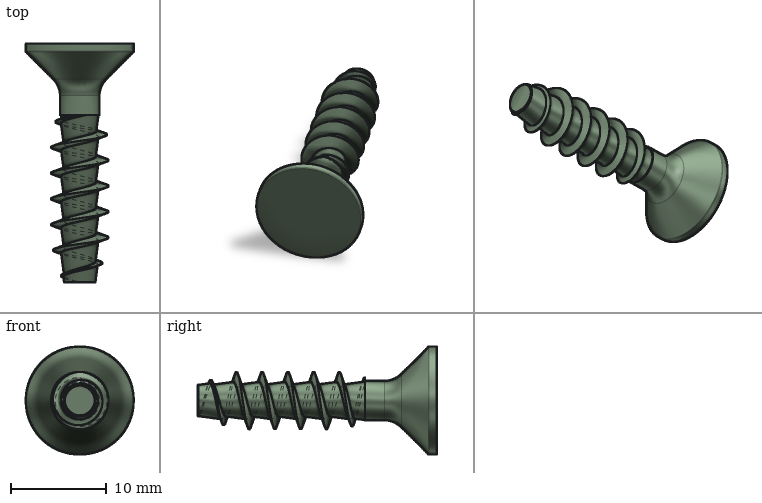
import cadquery as cq
import math


length = 25.0
head_radius = 5.65
head_rim = 0.85
rim_fillet = 0.1
shank_radius = 2.07
shank_end = 7.5
neck_fillet = 2.5
countersink_angle = math.radians(45)

pitch = 2.69
crest_radius = 3.0
crest_start_radius = 2.4
crest_end_radius = 1.72
flank_slope = 0.32
ridge_first_turn = -0.45
run_in_turns = 1.0
fade_start_turn = 5.0
last_turn = (length - shank_end) / pitch

root_high = 2.0
root_low = 1.64
root_first_turn = -0.95
root_start_rise = 0.25
root_rise_turns = 0.5
root_end_drop = 0.36
root_fill = 0.99

tip_face_radius = 1.56

core_radius = 1.5
root_inner_radius = 1.2
ridge_inner_radius = 1.35
samples_per_turn = 12


def crest_at(turn):
    """Crest radius, rising at the start and fading out at the tip."""
    if turn < run_in_turns:
        rise = (crest_radius - crest_start_radius) / run_in_turns
        return crest_start_radius + rise * turn
    if turn > fade_start_turn:
        fade = (crest_radius - crest_end_radius) / (last_turn - fade_start_turn)
        return crest_radius - fade * (turn - fade_start_turn)
    return crest_radius


def root_shift(turn):
    """Radial shift of the root, outwards at the start and inwards at the tip."""
    if turn < 0:
        return root_start_rise * min(1.0, (turn / root_rise_turns) ** 2)
    return -root_end_drop * max(0.0, turn - (last_turn - 1))


def ridge_section(turn):
    """Corners (axial offset from the crest, radius) of the thread ridge."""
    top = crest_at(turn)
    half_width = flank_slope * (top - ridge_inner_radius)
    return [
        (-half_width, ridge_inner_radius),
        (0, top),
        (half_width, ridge_inner_radius),
    ]


def root_section(turn):
    """Corners (axial offset from the crest, radius) of the tapered root."""
    shift = root_shift(turn)
    return [
        (0, root_inner_radius),
        (0, root_high + shift),
        (root_fill * pitch, root_low + shift),
        (root_fill * pitch, root_inner_radius),
    ]


def place(turn, corner):
    """Point in space of a section corner at the given turn."""
    offset, radius = corner
    angle = 2 * math.pi * turn
    depth = shank_end + pitch * turn + offset
    return cq.Vector(-radius * math.sin(angle), -depth, radius * math.cos(angle))


def helical_body(section, first_turn, final_turn):
    """Solid whose section follows the helix, with one ruled face per section side."""
    steps = math.ceil((final_turn - first_turn) * samples_per_turn)
    step = (final_turn - first_turn) / steps
    turns = [first_turn + step * i for i in range(steps + 1)]
    corner_count = len(section(first_turn))
    edges = []
    for k in range(corner_count):
        path = [place(t, section(t)[k]) for t in turns]
        edges.append(cq.Edge.makeSpline(path, parameters=turns))
    faces = []
    for k in range(corner_count):
        faces.append(cq.Face.makeRuledSurface(edges[k], edges[(k + 1) % corner_count]))
    for end in (first_turn, final_turn):
        corners = [place(end, c) for c in section(end)]
        faces.append(cq.Face.makeFromWires(cq.Wire.makePolygon(corners, close=True)))
    body = cq.Solid.makeSolid(cq.Shell.makeShell(faces))
    return cq.Workplane(obj=body.fix())


def make_head_and_shank():
    """Rim, countersink, rounded neck and plain shank as one revolved body."""
    neck_radius = shank_radius + neck_fillet * (1 - math.cos(countersink_angle))
    neck_start = head_rim + (head_radius - neck_radius) / math.tan(countersink_angle)
    neck_end = neck_start + neck_fillet * math.sin(countersink_angle)
    half_angle = countersink_angle / 2
    neck_middle = (
        shank_radius + neck_fillet * (1 - math.cos(half_angle)),
        -(neck_end - neck_fillet * math.sin(half_angle)),
    )
    body = (
        cq.Workplane("XY")
        .lineTo(head_radius, 0)
        .lineTo(head_radius, -head_rim)
        .lineTo(neck_radius, -neck_start)
        .threePointArc(neck_middle, (shank_radius, -neck_end))
        .lineTo(shank_radius, -shank_end)
        .lineTo(0, -shank_end)
        .close()
        .revolve(360, (0, 0, 0), (0, 1, 0))
    )
    rim_edges = cq.selectors.BoxSelector(
        (-head_radius, -head_rim - rim_fillet, -head_radius),
        (head_radius, rim_fillet, head_radius),
    )
    return body.edges(rim_edges).edges("%CIRCLE").fillet(rim_fillet)


def make_thread_envelope():
    """Space the thread may fill: from the shank end to the chamfered tip."""
    envelope_radius = head_radius
    chamfer_start = length - (envelope_radius - tip_face_radius)
    return (
        cq.Workplane("XY")
        .moveTo(0, -shank_end)
        .lineTo(envelope_radius, -shank_end)
        .lineTo(envelope_radius, -chamfer_start)
        .lineTo(tip_face_radius, -length)
        .lineTo(0, -length)
        .close()
        .revolve(360, (0, 0, 0), (0, 1, 0))
    )


def make_thread():
    """Core, tapered root and ridge, trimmed to the threaded length."""
    envelope = make_thread_envelope()
    core_plane = cq.Workplane("XZ", origin=(0, -shank_end, 0))
    core = core_plane.circle(core_radius).extrude(length - shank_end)
    root = helical_body(root_section, root_first_turn, last_turn).intersect(envelope)
    ridge = helical_body(ridge_section, ridge_first_turn, last_turn).intersect(envelope)
    return core.union(root).union(ridge)


result = make_head_and_shank().union(make_thread())